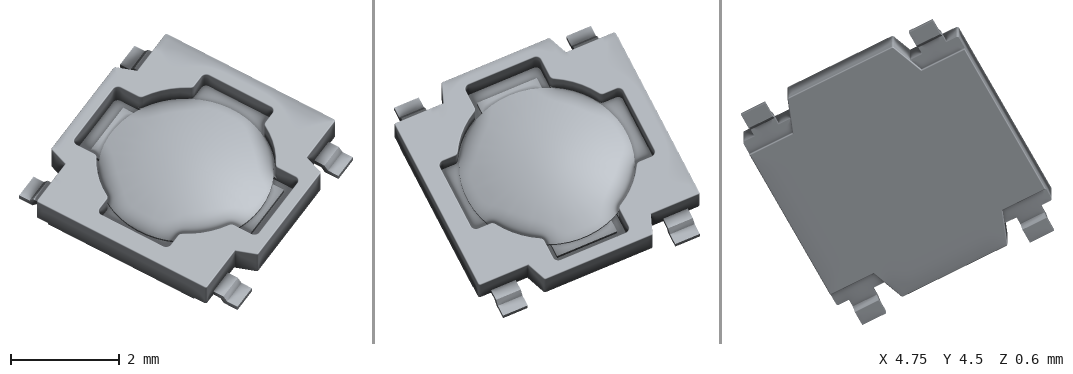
import cadquery as cq
import math

top_z = 0.6
base_z = 0.05
dome_seat_z = 0.25
slot_floor_z = 0.175

housing_half = 2.25
corner_half_x = 1.85
slant_outer_y = 1.1
slant_inner_y = 1.25
slant_slope = (slant_inner_y - slant_outer_y) / (housing_half - corner_half_x)
upright_edge_radius = 0.04
rim_edge_radius = 0.02

x_slot_width = 1.52
y_slot_width = 1.54
x_slot_length = 4.0
y_slot_length = 3.72
slot_corner_radius = 0.1
well_radius = 1.65
well_corner_radius = 0.1

pad_length = 3.5
pad_width = 1.22

lead_thickness = 0.1
lead_width = 0.5
lead_y = 1.75
lead_tip_x = 2.375
lead_inner_x = 1.59
lead_bend_run = 0.08
lead_top_bend_x = 2.15
lead_bottom_bend_x = 2.08

dome_radius = 1.62
dome_rim_z = dome_seat_z + 0.04
dome_top_z = 0.58

match_tolerance = 0.01


def level(z):
    return cq.Workplane("XY").workplane(offset=z)


def on_each_corner(shape):
    """Mirror a shape made at the +X +Y corner to all four corners."""
    pair = [shape, shape.mirror("XZ")]
    return pair + [copy.mirror("YZ") for copy in pair]


def make_block():
    quarter = [
        (housing_half, slant_outer_y),
        (corner_half_x, slant_inner_y),
        (corner_half_x, housing_half),
    ]
    half = quarter + [(-x, y) for x, y in reversed(quarter)]
    outline = half + [(-x, -y) for x, y in half]
    block = level(base_z).polyline(outline).close().extrude(top_z - base_z)

    def is_outward_corner(edge):
        return abs(abs(edge.Center().y) - slant_inner_y) > match_tolerance

    return block.edges("|Z").filter(is_outward_corner).fillet(upright_edge_radius)


def make_slot(bottom_z, slot_top_z, size_x, size_y):
    slot = level(bottom_z).rect(size_x, size_y).extrude(slot_top_z - bottom_z)
    return slot.edges("|Z").fillet(slot_corner_radius)


def make_pocket():
    """The space cut from the top, down to the dome seat and, in the X slot, deeper around its pad."""
    well = level(dome_seat_z).circle(well_radius).extrude(top_z - dome_seat_z)
    x_slot = make_slot(dome_seat_z, top_z, x_slot_length, x_slot_width)
    y_slot = make_slot(dome_seat_z, top_z, y_slot_width, y_slot_length)
    pocket = well.union(x_slot).union(y_slot)

    def is_well_corner(edge):
        center = edge.Center()
        on_well = abs(math.hypot(center.x, center.y) - well_radius) < match_tolerance
        on_slot_side = min(abs(center.x), abs(center.y)) > match_tolerance
        return on_well and on_slot_side

    pocket = pocket.edges("|Z").filter(is_well_corner).fillet(well_corner_radius)

    trench = make_slot(slot_floor_z, dome_seat_z, x_slot_length, x_slot_width)
    pad = level(slot_floor_z).rect(pad_length, pad_width).extrude(dome_seat_z - slot_floor_z)
    return pocket.union(trench.cut(pad))


def make_corner_recess():
    """A cut under one corner that bares the lead; its inner wall runs on in line with the slant."""
    inner_end_y = slant_inner_y + slant_slope * (corner_half_x - lead_inner_x)
    outline = [
        (lead_inner_x, inner_end_y),
        (corner_half_x, slant_inner_y),
        (corner_half_x, housing_half),
        (lead_inner_x, housing_half),
    ]
    return level(0).polyline(outline).close().extrude(lead_thickness)


def make_lead():
    raised_z = 2 * lead_thickness
    profile = [
        (lead_bottom_bend_x, 0),
        (lead_tip_x, 0),
        (lead_tip_x, lead_thickness),
        (lead_top_bend_x, lead_thickness),
        (lead_top_bend_x - lead_bend_run, raised_z),
        (lead_inner_x, raised_z),
        (lead_inner_x, lead_thickness),
        (lead_bottom_bend_x - lead_bend_run, lead_thickness),
    ]
    side = cq.Workplane("XZ", origin=(0, lead_y, 0))
    return side.polyline(profile).close().extrude(lead_width / 2, both=True)


def make_housing():
    housing = make_block().cut(make_pocket())
    housing = housing.faces(">Z").edges().fillet(rim_edge_radius)
    for recess in on_each_corner(make_corner_recess()):
        housing = housing.cut(recess)
    housing = housing.faces("<Z").edges().fillet(rim_edge_radius)
    for lead in on_each_corner(make_lead()):
        housing = housing.union(lead)
    return housing


def make_dome():
    cap_height = dome_top_z - dome_rim_z
    sphere_radius = (dome_radius ** 2 + cap_height ** 2) / (2 * cap_height)
    mid_angle = math.asin(dome_radius / sphere_radius) / 2
    mid_point = (
        sphere_radius * math.sin(mid_angle),
        dome_top_z - sphere_radius * (1 - math.cos(mid_angle)),
    )
    profile = (
        cq.Workplane("XZ")
        .moveTo(0, dome_seat_z)
        .lineTo(dome_radius, dome_seat_z)
        .lineTo(dome_radius, dome_rim_z)
        .threePointArc(mid_point, (0, dome_top_z))
        .close()
    )
    return profile.revolve(360, (0, 0, 0), (0, 1, 0))


housing = make_housing()
dome = make_dome()
result = cq.Compound.makeCompound([housing.val(), dome.val()])